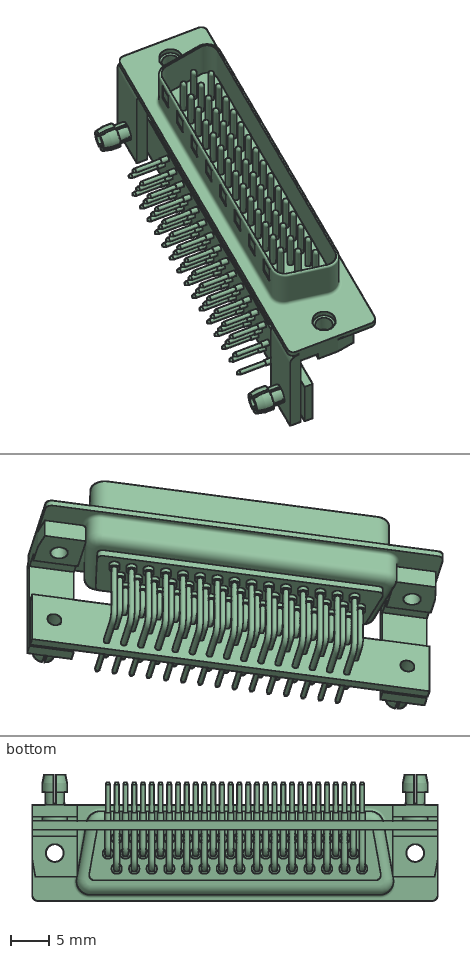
import cadquery as cq
import math


LENGTH = 53.05
FLANGE_DEPTH = 12.55
FLANGE_THICK = 0.85
FLANGE_CORNER = 0.85
MOUNT_X = 23.55
FLANGE_HOLE_DIA = 3.0
EAR_HOLE_DIA = 2.3
FRONT_Y = -FLANGE_DEPTH / 2

SIDE_TAPER = math.radians(10)
SHELL_HALF_LENGTH = 19.45
SHELL_HALF_DEPTH = 4.55
SHELL_CORNER = 1.9
SHELL_HEIGHT = 6.05
SHELL_WALL = 0.35
SHELL_RIM_FILLET = 0.25
FLARE = 0.4
FLARE_ZONE_MARGIN = 0.2
BODY_HALF_LENGTH = 20.1
BODY_HALF_DEPTH = 5.45
BODY_CORNER = 1.8
BODY_BOTTOM = -5.0
BODY_BOTTOM_FILLET = 1.25
BASE_HALF_LENGTH = 18.55
BASE_HALF_DEPTH = 3.55
BASE_CORNER = 0.7
BASE_BOTTOM = -5.95

POCKET_COUNT = 8
POCKET_SPAN = 31.05
POCKET_PITCH = POCKET_SPAN / (POCKET_COUNT - 1)
POCKET_WIDTH = 1.8
POCKET_BOTTOM = 2.75
POCKET_TOP = 5.25
POCKET_DEPTH = 0.15

EAR_BOTTOM = -3.45
EAR_FRONT_Y = -2.25
EAR_KNEE_Y = 0.65
EAR_BACK_Y = 3.1

BRACKET_WIDTH = 5.95
BRACKET_INNER_X = -LENGTH / 2 + BRACKET_WIDTH
BRACKET_THICK = 1.55
BRACKET_BOTTOM = -15.85
BRACKET_BEND = 1.25
BRACKET_BACK_Y = 0.65

BOARD_BACK_Y = -3.0
BOARD_THICK = 1.15
BOARD_HEIGHT = 7.6
BOARD_BOTTOM = -16.05
BOARD_FRONT_Y = BOARD_BACK_Y - BOARD_THICK

LOCK_Z = -12.3
LOCK_HOLE_DIA = 1.85
LOCK_HEAD_DIA = 3.3
LOCK_SHANK_DIA = 2.55
LOCK_NECK_DIA = 3.2
LOCK_END_DIA = 2.8
LOCK_COLLAR_START = -7.95
LOCK_COLLAR_END = -9.1
LOCK_END = FRONT_Y - 4.0
LOCK_HEAD_THICK = 0.25
LOCK_SLOT_WIDTH = 0.3
LOCK_SLOT_START = FRONT_Y - 0.2

PIN_DIA = 0.8
TAIL_DIA = 0.65
COLLAR_DIA = 1.4
COLLAR_BOTTOM = -6.6
PIN_TIP_Z = 5.75
TAIL_STEP_Y = -5.25
TAIL_END_Y = -9.3
TAIL_CHAMFER_LENGTH = 0.35
TAIL_CHAMFER_WIDTH = 0.15
LONG_ROW_COUNT = 15
SHORT_ROW_COUNT = 14
PIN_SPAN = 33.2
PIN_PITCH = PIN_SPAN / (LONG_ROW_COUNT - 0.5)
ROW_SPAN = 4.0
ROW_PITCH = ROW_SPAN / 2
MIDDLE_ROW_Y = 0.05
MIDDLE_TAIL_Z = -12.2
TAIL_ROW_PITCH = 2.55
BACK_BEND = 1.2
BEND = 0.9
FIRST_PIN_X = -PIN_SPAN / 2
STAGGERED_PIN_X = FIRST_PIN_X + PIN_PITCH / 2
PIN_ROWS = [
    (MIDDLE_ROW_Y + ROW_PITCH, MIDDLE_TAIL_Z - TAIL_ROW_PITCH, BACK_BEND, STAGGERED_PIN_X, LONG_ROW_COUNT),
    (MIDDLE_ROW_Y, MIDDLE_TAIL_Z, BEND, FIRST_PIN_X, LONG_ROW_COUNT),
    (MIDDLE_ROW_Y - ROW_PITCH, MIDDLE_TAIL_Z + TAIL_ROW_PITCH, BEND, STAGGERED_PIN_X, SHORT_ROW_COUNT),
]


def box(x_range, y_range, z_range):
    """Box between pairs of limits."""
    sizes = [high - low for low, high in (x_range, y_range, z_range)]
    solid = cq.Workplane("XY").box(*sizes, centered=False)
    return solid.translate((x_range[0], y_range[0], z_range[0]))


def d_block(half_length, half_depth, corner, bottom, top):
    """Upright block with a rounded D outline that is longer at the back."""
    slant = half_depth * math.tan(SIDE_TAPER)
    front = half_length - slant
    back = half_length + slant
    outline = [(-front, -half_depth), (front, -half_depth), (back, half_depth), (-back, half_depth)]
    block = cq.Workplane("XY").workplane(offset=bottom).polyline(outline).close().extrude(top - bottom)
    return block.edges("|Z").fillet(corner)


def cylinder_y(diameter, start, end, x=0, z=0):
    """Cylinder along Y, running toward -Y from start to end."""
    return cq.Workplane("XZ", origin=(x, start, z)).circle(diameter / 2).extrude(start - end)


def both_sides(solid):
    """The solid together with its mirror image across the YZ plane."""
    return solid.union(solid.mirror("YZ"))


def make_shell_and_body():
    flange = box((-LENGTH / 2, LENGTH / 2), (FRONT_Y, -FRONT_Y), (-FLANGE_THICK, 0))
    flange = flange.edges("|Z").fillet(FLANGE_CORNER)

    shell = d_block(SHELL_HALF_LENGTH, SHELL_HALF_DEPTH, SHELL_CORNER, -FLANGE_THICK, SHELL_HEIGHT)
    shell = shell.faces(">Z").edges().fillet(SHELL_RIM_FILLET)
    body = d_block(BODY_HALF_LENGTH, BODY_HALF_DEPTH, BODY_CORNER, BODY_BOTTOM, 0)
    body = body.faces("<Z").edges().fillet(BODY_BOTTOM_FILLET)

    def inside_flange_outline(z):
        """Selects the edges at height z that do not belong to the flange outline."""
        reach_x = LENGTH / 2 - FLANGE_CORNER
        reach_y = -FRONT_Y - FLARE_ZONE_MARGIN
        low = (-reach_x, -reach_y, z - FLARE_ZONE_MARGIN)
        high = (reach_x, reach_y, z + FLARE_ZONE_MARGIN)
        return cq.selectors.BoxSelector(low, high)

    housing = flange.union(shell).union(body)
    housing = housing.edges(inside_flange_outline(0)).fillet(FLARE)
    housing = housing.edges(inside_flange_outline(-FLANGE_THICK)).fillet(FLARE)

    cavity = d_block(
        SHELL_HALF_LENGTH - SHELL_WALL,
        SHELL_HALF_DEPTH - SHELL_WALL,
        SHELL_CORNER - SHELL_WALL,
        0,
        SHELL_HEIGHT,
    )
    base = d_block(BASE_HALF_LENGTH, BASE_HALF_DEPTH, BASE_CORNER, BASE_BOTTOM, BODY_BOTTOM)
    return housing.cut(cavity).union(base)


def make_pockets():
    pockets = cq.Workplane("XY")
    first_x = -POCKET_SPAN / 2
    for index in range(POCKET_COUNT):
        x = first_x + index * POCKET_PITCH
        x_range = (x - POCKET_WIDTH / 2, x + POCKET_WIDTH / 2)
        y_range = (-SHELL_HALF_DEPTH, -SHELL_HALF_DEPTH + POCKET_DEPTH)
        pockets = pockets.add(box(x_range, y_range, (POCKET_BOTTOM, POCKET_TOP)))
    return pockets.combine()


def make_ear():
    outer_x = -LENGTH / 2
    back_x = outer_x + (EAR_BACK_Y - EAR_KNEE_Y) * math.tan(SIDE_TAPER)
    outline = [
        (BRACKET_INNER_X, EAR_FRONT_Y),
        (outer_x, EAR_FRONT_Y),
        (outer_x, EAR_KNEE_Y),
        (back_x, EAR_BACK_Y),
        (BRACKET_INNER_X, EAR_BACK_Y),
    ]
    ear = cq.Workplane("XY").workplane(offset=EAR_BOTTOM).polyline(outline).close()
    return ear.extrude(-FLANGE_THICK - EAR_BOTTOM)


def make_bracket():
    """Angle bracket: one leg lies under the flange, the other hangs down along its front edge."""
    x_range = (-LENGTH / 2, BRACKET_INNER_X)
    bracket = box(x_range, (FRONT_Y, BRACKET_BACK_Y), (BRACKET_BOTTOM, -FLANGE_THICK))
    bracket = bracket.edges("|X and >Z and <Y").fillet(BRACKET_BEND)
    inside = box(
        x_range,
        (FRONT_Y + BRACKET_THICK, BRACKET_BACK_Y),
        (BRACKET_BOTTOM, -FLANGE_THICK - BRACKET_THICK),
    )
    return bracket.cut(inside)


def make_mount_holes():
    """Stepped hole through flange, bracket and ear."""
    axis = cq.Workplane("XY").center(-MOUNT_X, 0)
    upper = axis.circle(FLANGE_HOLE_DIA / 2).extrude(-FLANGE_THICK)
    lower = axis.circle(EAR_HOLE_DIA / 2).extrude(EAR_BOTTOM)
    return upper.union(lower)


def make_lock():
    """Split board lock: head behind the bracket, shank through it, collar and tapered end."""
    head_end = BOARD_FRONT_Y - LOCK_HEAD_THICK
    half_profile = [
        (0, BOARD_FRONT_Y),
        (LOCK_HEAD_DIA / 2, BOARD_FRONT_Y),
        (LOCK_HEAD_DIA / 2, head_end),
        (LOCK_NECK_DIA / 2, FRONT_Y + BRACKET_THICK),
        (LOCK_SHANK_DIA / 2, FRONT_Y + BRACKET_THICK),
        (LOCK_SHANK_DIA / 2, LOCK_COLLAR_START),
        (LOCK_HEAD_DIA / 2, LOCK_COLLAR_START),
        (LOCK_HEAD_DIA / 2, LOCK_COLLAR_END),
        (LOCK_END_DIA / 2, LOCK_END),
        (0, LOCK_END),
    ]
    lock = cq.Workplane("XY").polyline(half_profile).close().revolve(360, (0, 0, 0), (0, 1, 0))
    slot_half = LOCK_SLOT_WIDTH / 2
    slot_y = (LOCK_END, LOCK_SLOT_START)
    reach = (-LOCK_HEAD_DIA, LOCK_HEAD_DIA)
    lock = lock.cut(box((-slot_half, slot_half), slot_y, reach))
    lock = lock.cut(box(reach, slot_y, (-slot_half, slot_half)))
    return lock.translate((-MOUNT_X, 0, LOCK_Z))


def make_pin(contact_y, tail_z, bend):
    """One pin at X = 0: upright contact with a domed tip, collar, right-angle bend and thinner tail."""
    bend_top = tail_z + bend
    bend_front = contact_y - bend
    upright = cq.Workplane("XY", origin=(0, contact_y, bend_top)).circle(PIN_DIA / 2)
    dome_z = PIN_TIP_Z - PIN_DIA / 2
    upright = upright.extrude(dome_z - bend_top)
    dome = cq.Workplane("XY", origin=(0, contact_y, dome_z)).sphere(PIN_DIA / 2)
    collar = cq.Workplane("XY", origin=(0, contact_y, COLLAR_BOTTOM)).circle(COLLAR_DIA / 2)
    collar = collar.extrude(BASE_BOTTOM - COLLAR_BOTTOM)
    elbow = cq.Workplane("XY", origin=(0, contact_y, bend_top)).circle(PIN_DIA / 2)
    elbow = elbow.revolve(90, (0, -bend, 0), (-1, -bend, 0))
    run = cylinder_y(PIN_DIA, bend_front, TAIL_STEP_Y, z=tail_z)
    tail = cylinder_y(TAIL_DIA, TAIL_STEP_Y, TAIL_END_Y, z=tail_z)
    tail = tail.faces("<Y").chamfer(TAIL_CHAMFER_LENGTH, TAIL_CHAMFER_WIDTH)
    return upright.union(dome).union(collar).union(elbow).union(run).union(tail)


def make_pin_row(contact_y, tail_z, bend, first_x, count):
    pin = make_pin(contact_y, tail_z, bend).val()
    copies = [pin.translate(cq.Vector(first_x + index * PIN_PITCH, 0, 0)) for index in range(count)]
    return cq.Workplane(cq.Compound.makeCompound(copies))


board = box(
    (-LENGTH / 2, LENGTH / 2),
    (BOARD_FRONT_Y, BOARD_BACK_Y),
    (BOARD_BOTTOM, BOARD_BOTTOM + BOARD_HEIGHT),
)
lock_hole = cylinder_y(LOCK_HOLE_DIA, BOARD_BACK_Y, LOCK_END, x=-MOUNT_X, z=LOCK_Z)

result = make_shell_and_body().cut(make_pockets())
result = result.union(both_sides(make_ear().union(make_bracket())))
result = result.cut(both_sides(make_mount_holes()))
result = result.union(board).union(both_sides(make_lock()))
result = result.cut(both_sides(lock_hole))
for row in PIN_ROWS:
    result = result.union(make_pin_row(*row))